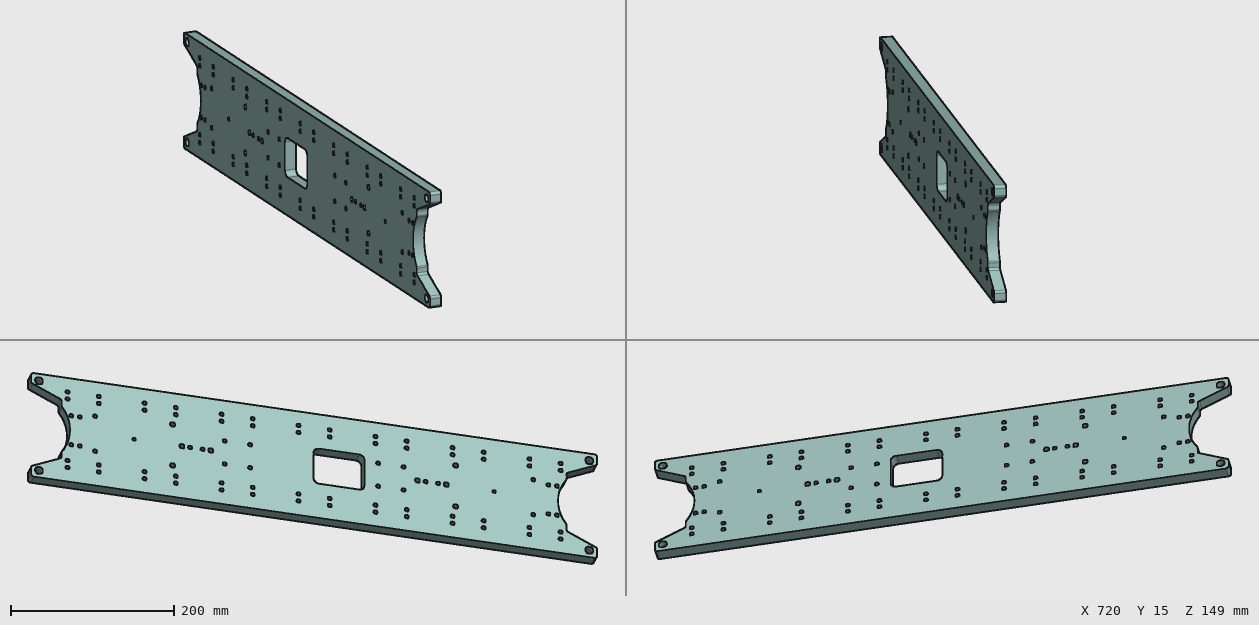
import cadquery as cq
import math

LENGTH = 720.0
THICKNESS = 15.0
HEIGHT = 149.0
END_CORNER_RADIUS = 3.5

RECESS_MOUTH_HALF_HEIGHT = 60.0
SHOULDER_OUTER_Z = 42.0
SHOULDER_INNER_Z = 32.5
SHOULDER_CORNER_RADIUS = 3.5
RECESS_DEPTH = 50.0
RECESS_BOTTOM_RADIUS = 54.0
BOTTOM_RISE = RECESS_BOTTOM_RADIUS - math.sqrt(RECESS_BOTTOM_RADIUS**2 - SHOULDER_INNER_Z**2)
SHOULDER_DEPTH = RECESS_DEPTH - BOTTOM_RISE
SELECT_MARGIN = 1.0

WINDOW_LENGTH = 65.0
WINDOW_HEIGHT = 50.5
WINDOW_CENTER_X = -32.0
WINDOW_CORNER_RADIUS = 7.0

CORNER_HOLE_DIAMETER = 10.0
LARGE_HOLE_DIAMETER = 6.4
HOLE_DIAMETER = 5.0
SMALL_HOLE_DIAMETER = 4.2

CORNER_HOLE_INSET = 10.0

RAIL_GROUP_PITCH = 98.0
RAIL_GROUPS_PER_SIDE = 3
RAIL_SPACING_X = 39.5
RAIL_SPACING_Z = 10.0
RAIL_EDGE_INSET = 20.0
RAIL_CENTER_Z = HEIGHT / 2 - RAIL_EDGE_INSET - RAIL_SPACING_Z / 2

QUADRANT_HOLES = [(309.0, 21.0), (298.0, 21.0), (279.0, 25.0), (114.0, 16.5), (81.0, 16.5)]
QUADRANT_LARGE_HOLES = [(180.0, 29.5)]

ROW_CENTER_X = 150.0
ROW_OUTER_SPACING = 37.0
ROW_INNER_SPACING = 16.0
PILOT_X = 229.0


def mirrored(points):
    """Copies of the points in all four quadrants, without repeats on the axes."""
    return sorted({(sx * x, sz * z) for x, z in points for sx in (-1, 1) for sz in (-1, 1)})


def through_cut(sketch):
    """Prism from a sketch in the XZ plane, running through the whole thickness."""
    return sketch.extrude(THICKNESS, both=True)


def plate_blank():
    return cq.Workplane("XY").box(LENGTH, THICKNESS, HEIGHT)


def end_recess(side):
    """Recess in the end at +X (side = 1) or -X (side = -1)."""
    end_x = side * LENGTH / 2
    shoulder_x = side * (LENGTH / 2 - SHOULDER_DEPTH)
    bottom_x = side * (LENGTH / 2 - RECESS_DEPTH)
    sketch = (
        cq.Workplane("XZ")
        .moveTo(end_x, RECESS_MOUTH_HALF_HEIGHT)
        .lineTo(shoulder_x, SHOULDER_OUTER_Z)
        .lineTo(shoulder_x, SHOULDER_INNER_Z)
        .threePointArc((bottom_x, 0), (shoulder_x, -SHOULDER_INNER_Z))
        .lineTo(shoulder_x, -SHOULDER_OUTER_Z)
        .lineTo(end_x, -RECESS_MOUTH_HALF_HEIGHT)
        .close()
    )
    shoulder_corners = cq.selectors.BoxSelector(
        (shoulder_x - SELECT_MARGIN, -THICKNESS * 2, -SHOULDER_OUTER_Z - SELECT_MARGIN),
        (shoulder_x + SELECT_MARGIN, THICKNESS * 2, SHOULDER_OUTER_Z + SELECT_MARGIN),
    )
    recess = through_cut(sketch)
    return recess.edges("|Y").edges(shoulder_corners).fillet(SHOULDER_CORNER_RADIUS)


def window():
    sketch = cq.Workplane("XZ").center(WINDOW_CENTER_X, 0).rect(WINDOW_LENGTH, WINDOW_HEIGHT)
    return through_cut(sketch).edges("|Y").fillet(WINDOW_CORNER_RADIUS)


def rail_hole_points():
    groups = range(-RAIL_GROUPS_PER_SIDE, RAIL_GROUPS_PER_SIDE + 1)
    return [
        (group * RAIL_GROUP_PITCH + sx * RAIL_SPACING_X / 2, sz * RAIL_CENTER_Z + dz * RAIL_SPACING_Z / 2)
        for group in groups
        for sx in (-1, 1)
        for sz in (-1, 1)
        for dz in (-1, 1)
    ]


def row_points(spacing):
    """Two holes on the centre line, evenly about each row centre."""
    return mirrored([(ROW_CENTER_X + side * spacing / 2, 0.0) for side in (-1, 1)])


def holes(points, diameter):
    return through_cut(cq.Workplane("XZ").pushPoints(points).circle(diameter / 2))


corner_points = mirrored([(LENGTH / 2 - CORNER_HOLE_INSET, HEIGHT / 2 - CORNER_HOLE_INSET)])
pilot_points = mirrored([(PILOT_X, 0.0)])
large_points = mirrored(QUADRANT_LARGE_HOLES) + row_points(ROW_OUTER_SPACING)
standard_points = rail_hole_points() + mirrored(QUADRANT_HOLES) + row_points(ROW_INNER_SPACING)

result = plate_blank()
for end_side in (-1, 1):
    result = result.cut(end_recess(end_side))
result = result.edges("|Y and (<X or >X)").fillet(END_CORNER_RADIUS)
result = result.cut(window())
result = result.cut(holes(corner_points, CORNER_HOLE_DIAMETER))
result = result.cut(holes(standard_points, HOLE_DIAMETER))
result = result.cut(holes(large_points, LARGE_HOLE_DIAMETER))
result = result.cut(holes(pilot_points, SMALL_HOLE_DIAMETER))